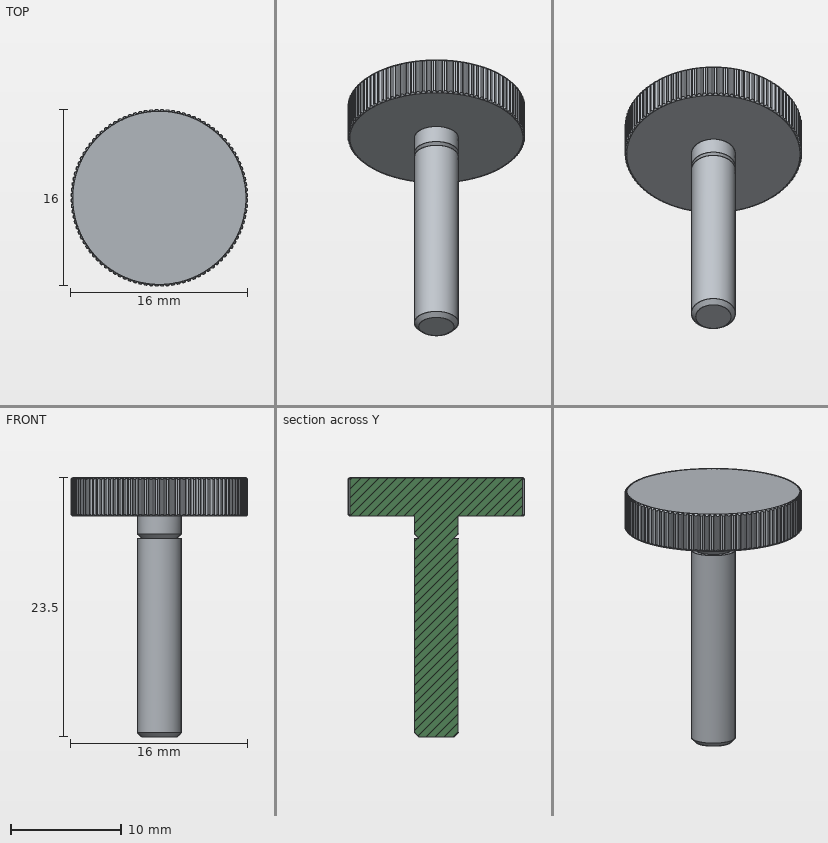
import cadquery as cq
import math

TOTAL_LENGTH = 23.5

HEAD_DIAMETER = 16.0
HEAD_HEIGHT = 3.5
HEAD_CHAMFER = 0.16

GROOVE_COUNT = 100
GROOVE_DEPTH = HEAD_CHAMFER
GROOVE_ANGLE = 90.0

SHANK_DIAMETER = 4.0
SHANK_CHAMFER = 0.4
NECK_LENGTH = 2.0

head_radius = HEAD_DIAMETER / 2
shank_radius = SHANK_DIAMETER / 2
chamfered_shank_radius = shank_radius - SHANK_CHAMFER
head_bottom = TOTAL_LENGTH - HEAD_HEIGHT
neck_bottom = head_bottom - NECK_LENGTH


def make_knurled_head():
    """Disc with chamfered rims and V-grooves cut parallel to its axis."""
    root_radius = head_radius - GROOVE_DEPTH
    half_pitch_angle = math.pi / GROOVE_COUNT
    half_groove_angle = GROOVE_DEPTH * math.tan(math.radians(GROOVE_ANGLE / 2)) / head_radius

    def rim_point(radius, angle):
        return (radius * math.cos(angle), radius * math.sin(angle))

    profile = cq.Workplane("XY", origin=(0, 0, head_bottom)).moveTo(*rim_point(root_radius, 0))
    for groove in range(GROOVE_COUNT):
        groove_angle = 2 * half_pitch_angle * groove
        next_groove_angle = groove_angle + 2 * half_pitch_angle
        profile = profile.lineTo(*rim_point(head_radius, groove_angle + half_groove_angle))
        profile = profile.threePointArc(
            rim_point(head_radius, groove_angle + half_pitch_angle),
            rim_point(head_radius, next_groove_angle - half_groove_angle),
        )
        if groove < GROOVE_COUNT - 1:
            profile = profile.lineTo(*rim_point(root_radius, next_groove_angle))
    knurled_bar = profile.close().extrude(HEAD_HEIGHT)

    chamfered_disc = (
        cq.Workplane("XY", origin=(0, 0, head_bottom))
        .circle(head_radius)
        .extrude(HEAD_HEIGHT)
        .edges()
        .chamfer(HEAD_CHAMFER)
    )
    return chamfered_disc.intersect(knurled_bar)


def make_shank():
    """Round shank with a chamfered tip and a neck tapering in to a sharp shoulder."""
    half_section = (
        cq.Workplane("XZ")
        .moveTo(0, 0)
        .lineTo(chamfered_shank_radius, 0)
        .lineTo(shank_radius, SHANK_CHAMFER)
        .lineTo(shank_radius, neck_bottom)
        .lineTo(chamfered_shank_radius, neck_bottom)
        .lineTo(shank_radius, neck_bottom + SHANK_CHAMFER)
        .lineTo(shank_radius, head_bottom)
        .lineTo(0, head_bottom)
        .close()
    )
    return half_section.revolve(360, (0, 0, 0), (0, 1, 0))


result = make_knurled_head().union(make_shank())